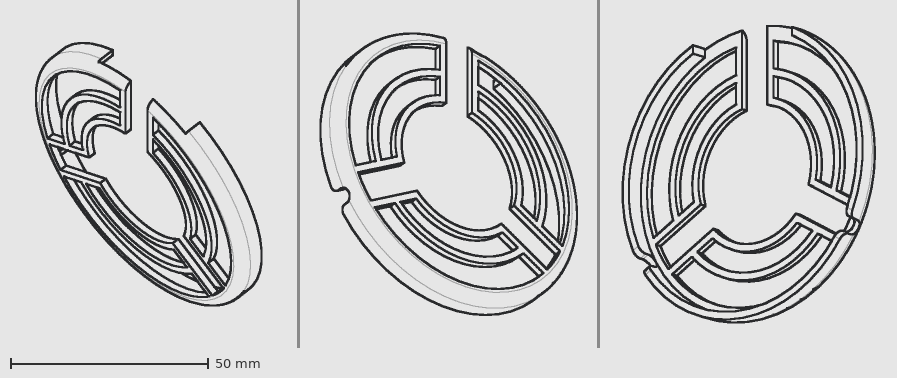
import cadquery as cq
import math

outer_radius = 38.5
depth = 7.0
front_rounding = 3.0
wall_thickness = 2.0
opening_radius = 34.5

grille_thickness = 2.0
bar_width = 2.0
gap_half_width = 4.0
inner_ring_radius = 18.0
middle_ring_radius = 25.4
gap_angles = (90, 210, 330)

top_cutout_half_width = 15.9
notch_radius = 2.0
notch_angles = (210, 330)

BORE_CLEARANCE = 0.8
wall_inner_radius = outer_radius - wall_thickness


def cylinder(radius, start, end):
    """Solid disc about the Y axis, from Y = start to Y = end."""
    front = cq.Workplane("XZ", origin=(0, start, 0))
    return front.circle(radius).extrude(start - end)


def ring(inner, outer):
    """Flat ring as thick as the grille."""
    return cylinder(outer, 0, grille_thickness).cut(cylinder(inner, 0, grille_thickness))


def turn(shape, angle):
    """Turn a feature built along +X to the given angle from +X towards +Z."""
    return shape.rotate((0, 0, 0), (0, 1, 0), -angle)


def radial_slab(half_width, reach):
    """Block from the centre line out along +X, as thick as the grille."""
    return cq.Workplane("XY").box(
        reach, grille_thickness, 2 * half_width, centered=(False, False, True)
    )


def make_rim():
    body = cylinder(outer_radius, 0, depth).faces("<Y").edges().fillet(front_rounding)
    body = body.cut(cylinder(wall_inner_radius, grille_thickness, depth))
    return body.cut(cylinder(opening_radius, 0, grille_thickness))


def make_grille():
    grille = ring(inner_ring_radius, inner_ring_radius + bar_width)
    grille = grille.union(ring(middle_ring_radius, middle_ring_radius + bar_width))
    bar_region = ring(inner_ring_radius, opening_radius + BORE_CLEARANCE)
    for angle in gap_angles:
        framed_gap = turn(radial_slab(gap_half_width + bar_width, outer_radius), angle)
        grille = grille.union(framed_gap.intersect(bar_region))
    for angle in gap_angles:
        grille = grille.cut(turn(radial_slab(gap_half_width, outer_radius), angle))
    return grille


def make_top_cutout():
    """Removes the wall behind the flange, and leaves the flange in front."""
    return cq.Workplane("XY").box(
        2 * top_cutout_half_width, depth, outer_radius, centered=(True, False, False)
    ).translate((0, grille_thickness, 0))


def make_wall_notch():
    """Slot along +X with a round floor and a rounded mouth at the back edge."""
    r = notch_radius
    diagonal = r * math.sqrt(0.5)
    floor_start = grille_thickness + r
    mouth_start = depth - r
    profile = (
        cq.Workplane("YZ")
        .moveTo(floor_start, -r)
        .threePointArc((grille_thickness, 0), (floor_start, r))
        .lineTo(mouth_start, r)
        .threePointArc((mouth_start + diagonal, 2 * r - diagonal), (depth, 2 * r))
        .lineTo(depth, -2 * r)
        .threePointArc((mouth_start + diagonal, diagonal - 2 * r), (mouth_start, -r))
        .close()
    )
    return profile.extrude(outer_radius + BORE_CLEARANCE)


rim = make_rim().cut(make_top_cutout())
for notch_angle in notch_angles:
    rim = rim.cut(turn(make_wall_notch(), notch_angle))

top_gap = turn(radial_slab(gap_half_width, outer_radius), gap_angles[0])
result = rim.union(make_grille()).cut(top_gap)